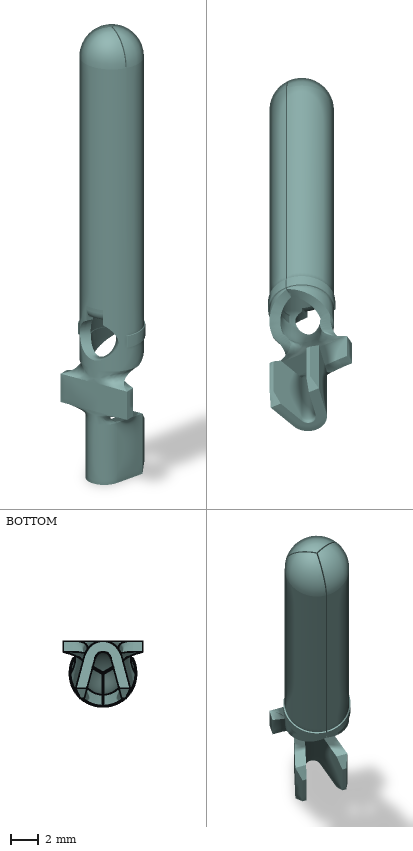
import cadquery as cq
import math

LENGTH = 35.89
SHEET = 0.8
TUBE_R = 2.37
BORE_R = TUBE_R - SHEET
NEUTRAL_R = TUBE_R - SHEET / 2
FRONT_Y = -TUBE_R

CRIMP_TOP = 4.85
CRIMP_R = 1.4
CRIMP_ANGLE = 75.0
WING_BEND_Y = 1.08
WING_TIP_Y = 1.85
TIP_THICKNESS = 0.3
WING_CORNER = WING_TIP_Y - WING_BEND_Y

PLATE_WIDTH = 5.84
PLATE_BOTTOM = 5.85
PLATE_TOP = 8.13

NECK_WAIST_Z = 5.3
NECK_WAIST_R = 1.6
NECK_WAIST_ANGLE = 46.0
NECK_TOP_WIDTH = 4.4

TUBE_BOTTOM = 9.19
THROAT_Z = 8.65
THROAT_ANGLE = 60.0
THROAT_TOP_ANGLE = 90.0

DOME_Z = LENGTH - TUBE_R
SEAM_GAP = 0.1
DOME_SEAM_ANGLES = (90.0, 210.0, 330.0)
BACK_CUT_LEAD = 1.1
BAND_Z = 11.5
BAND_HEIGHT = 0.93
BAND_RISE = 0.1
BAND_FRONT_Y = -1.15
HOLE_Z = 11.5
HOLE_R = 1.56
LEAD_WIDTH = 1.44
LEAD_TOP = 14.1
LEAD_RAMP_BOTTOM = 13.84
LEAD_RAMP_DEPTH = 0.02

CLEAR = 1.0
OVERLAP = 0.02
HOLE_CURVE_POINTS = 60
BACK_EDGE_STEPS = 6


def polar(radius, degrees, centre_y=0.0):
    """Point at an angle measured from the front (-Y) direction towards +X."""
    angle = math.radians(degrees)
    return (radius * math.sin(angle), centre_y - radius * math.cos(angle))


def box(x_size, y_min, y_max, z_min, z_max):
    """Block centred on x = 0 between the given Y and Z limits."""
    base = cq.Workplane("XY", origin=(0, 0, z_min))
    return base.center(0, (y_min + y_max) / 2).rect(x_size, y_max - y_min).extrude(z_max - z_min)


def curved_section(z, outer_r, half_angle):
    """Closed sheet section bent to an arc that touches the front plane."""
    centre_y = FRONT_Y + outer_r
    inner_r = outer_r - SHEET
    return (
        cq.Workplane("XY", origin=(0, 0, z))
        .moveTo(*polar(outer_r, -half_angle, centre_y))
        .threePointArc(polar(outer_r, 0, centre_y), polar(outer_r, half_angle, centre_y))
        .lineTo(*polar(inner_r, half_angle, centre_y))
        .threePointArc(polar(inner_r, 0, centre_y), polar(inner_r, -half_angle, centre_y))
        .close()
        .val()
    )


def flat_section(z, width):
    """Closed section of the flat sheet lying on the front plane."""
    half = width / 2
    back_y = FRONT_Y + SHEET
    return (
        cq.Workplane("XY", origin=(0, 0, z))
        .moveTo(-half, FRONT_Y)
        .lineTo(half, FRONT_Y)
        .lineTo(half, back_y)
        .lineTo(-half, back_y)
        .close()
        .val()
    )


def loft(sections, ruled=False):
    """Solid through closed sections, in order: smooth, or straight between neighbours."""
    return cq.Workplane(obj=cq.Solid.makeLoft(sections, ruled))


def crimp():
    """Open U with flared wings, bevelled tips and cut corners."""
    centre_y = FRONT_Y + CRIMP_R
    inner_r = CRIMP_R - SHEET
    outer_x, outer_y = polar(CRIMP_R, CRIMP_ANGLE, centre_y)
    inner_x, inner_y = polar(inner_r, CRIMP_ANGLE, centre_y)
    flare = 1 / math.tan(math.radians(CRIMP_ANGLE))
    bend_x = outer_x + (WING_BEND_Y - outer_y) * flare
    tip_inner_x = inner_x + (WING_TIP_Y - inner_y) * flare
    tip_outer_x = tip_inner_x + TIP_THICKNESS
    body = (
        cq.Workplane("XY")
        .moveTo(-outer_x, outer_y)
        .threePointArc((0, FRONT_Y), (outer_x, outer_y))
        .lineTo(bend_x, WING_BEND_Y)
        .lineTo(tip_outer_x, WING_TIP_Y)
        .lineTo(tip_inner_x, WING_TIP_Y)
        .lineTo(inner_x, inner_y)
        .threePointArc((0, FRONT_Y + SHEET), (-inner_x, inner_y))
        .lineTo(-tip_inner_x, WING_TIP_Y)
        .lineTo(-tip_outer_x, WING_TIP_Y)
        .lineTo(-bend_x, WING_BEND_Y)
        .close()
        .extrude(CRIMP_TOP)
    )
    side_outline = (
        cq.Workplane("YZ")
        .moveTo(FRONT_Y, 0)
        .lineTo(WING_BEND_Y, 0)
        .lineTo(WING_TIP_Y, WING_CORNER)
        .lineTo(WING_TIP_Y, CRIMP_TOP - WING_CORNER)
        .lineTo(WING_BEND_Y, CRIMP_TOP)
        .lineTo(FRONT_Y, CRIMP_TOP)
        .close()
        .extrude(PLATE_WIDTH / 2, both=True)
    )
    return body.intersect(side_outline)


def neck():
    """Waisted transition from the crimp bottom up to the plate."""
    return loft([
        curved_section(CRIMP_TOP, CRIMP_R, CRIMP_ANGLE),
        curved_section(NECK_WAIST_Z, NECK_WAIST_R, NECK_WAIST_ANGLE),
        flat_section(PLATE_BOTTOM, NECK_TOP_WIDTH),
    ])


def plate():
    """Flat cross bar that forms the shoulders."""
    return box(PLATE_WIDTH, FRONT_Y, FRONT_Y + SHEET, PLATE_BOTTOM, PLATE_TOP)


def throat():
    """Transition from the flat plate into the front half of the tube."""
    return loft([
        flat_section(PLATE_TOP, PLATE_WIDTH),
        curved_section(THROAT_Z, TUBE_R, THROAT_ANGLE),
        curved_section(TUBE_BOTTOM, TUBE_R, THROAT_TOP_ANGLE),
    ])


def round_bar(radius, rise=0.0):
    """Domed bar with a raised band at the band height."""
    bar = cq.Workplane("XY", origin=(0, 0, TUBE_BOTTOM)).circle(radius).extrude(DOME_Z - TUBE_BOTTOM)
    dome = cq.Workplane("XY", origin=(0, 0, DOME_Z)).sphere(radius)
    band_bottom = BAND_Z - BAND_HEIGHT / 2
    ring = cq.Workplane("XY", origin=(0, 0, band_bottom)).circle(radius + rise).extrude(BAND_HEIGHT)
    end_y = BAND_FRONT_Y * (radius + rise) / (TUBE_R + BAND_RISE)
    keep = box(PLATE_WIDTH, end_y, TUBE_R + CLEAR, band_bottom, band_bottom + BAND_HEIGHT)
    return bar.union(dome).union(ring.intersect(keep))


def back_edge_section(angle):
    """Upright rectangle on a radial plane, topped by the sloped edge at that angle."""
    from_back = abs(angle - math.pi / 2)
    edge_z = TUBE_BOTTOM + BACK_CUT_LEAD * (math.pi / 2 - from_back)
    plane = cq.Plane(
        origin=(0, 0, TUBE_BOTTOM - CLEAR),
        xDir=(math.cos(angle), math.sin(angle), 0),
        normal=(math.sin(angle), -math.cos(angle), 0),
    )
    height = edge_z - plane.origin.z
    inner_r = BORE_R / 2
    outer_r = TUBE_R + CLEAR
    return cq.Workplane(plane).center(inner_r, 0).rect(outer_r - inner_r, height, centered=False).val()


def back_edge_cutter():
    """Removes the lower back along an edge that climbs evenly round the tube."""
    quarter = math.pi / 2
    halves = []
    for start in (0, quarter):
        angles = [start + quarter * step / BACK_EDGE_STEPS for step in range(BACK_EDGE_STEPS + 1)]
        halves.append(loft([back_edge_section(angle) for angle in angles]))
    return halves[0].union(halves[1])


def seam_cutter():
    """Open joint along the back of the rolled tube."""
    return box(SEAM_GAP, 0, TUBE_R + CLEAR, TUBE_BOTTOM - CLEAR, DOME_Z + OVERLAP)


def dome_seam_cutter():
    """Joints between the three petals that close the dome."""
    joints = cq.Workplane("XY")
    for angle in DOME_SEAM_ANGLES:
        joint = box(TUBE_R + CLEAR, -SEAM_GAP / 2, SEAM_GAP / 2, DOME_Z, LENGTH + CLEAR)
        joint = joint.translate(((TUBE_R + CLEAR) / 2, 0, 0))
        joints = joints.union(joint.rotate((0, 0, 0), (0, 0, 1), angle))
    return joints


def hole_section(depth):
    """Outline, at one distance in front of the axis, of a round hole wrapped on the tube."""
    def outline(turn):
        angle = 2 * math.pi * turn
        return (
            depth * math.tan(HOLE_R * math.cos(angle) / NEUTRAL_R),
            HOLE_R * math.sin(angle),
        )
    plane = cq.Workplane("XZ", origin=(0, -depth, HOLE_Z))
    return plane.parametricCurve(outline, N=HOLE_CURVE_POINTS).val()


def hole_cutter():
    """Round hole of the flat sheet, radial to the axis after rolling."""
    return loft([hole_section(BORE_R / 2), hole_section(TUBE_R + CLEAR)], ruled=True)


def lead_cutter():
    """Rounds the sheet over into the top of the hole, in a narrow strip."""
    hole_top = HOLE_Z + HOLE_R
    lead_r = LEAD_RAMP_BOTTOM - hole_top
    arc_mid = lead_r * math.sqrt(0.5)
    ramp_r = TUBE_R - LEAD_RAMP_DEPTH
    centre_r = ramp_r - lead_r
    outer_r = TUBE_R + CLEAR
    ring = (
        cq.Workplane("XZ")
        .moveTo(TUBE_R, LEAD_TOP)
        .lineTo(ramp_r, LEAD_RAMP_BOTTOM)
        .threePointArc((centre_r + arc_mid, LEAD_RAMP_BOTTOM - arc_mid), (centre_r, hole_top))
        .lineTo(centre_r, HOLE_Z)
        .lineTo(outer_r, HOLE_Z)
        .lineTo(outer_r, LEAD_TOP)
        .close()
        .revolve()
    )
    return ring.intersect(box(LEAD_WIDTH, -outer_r, 0, HOLE_Z, LEAD_TOP))


def tube():
    """Hollow domed tube with its seams, sloped back edge, hole and lead."""
    shell = round_bar(TUBE_R, BAND_RISE).cut(round_bar(BORE_R, BAND_RISE))
    for cutter in (back_edge_cutter, seam_cutter, dome_seam_cutter, hole_cutter, lead_cutter):
        shell = shell.cut(cutter())
    return shell


result = crimp().union(neck()).union(plate()).union(throat()).union(tube())